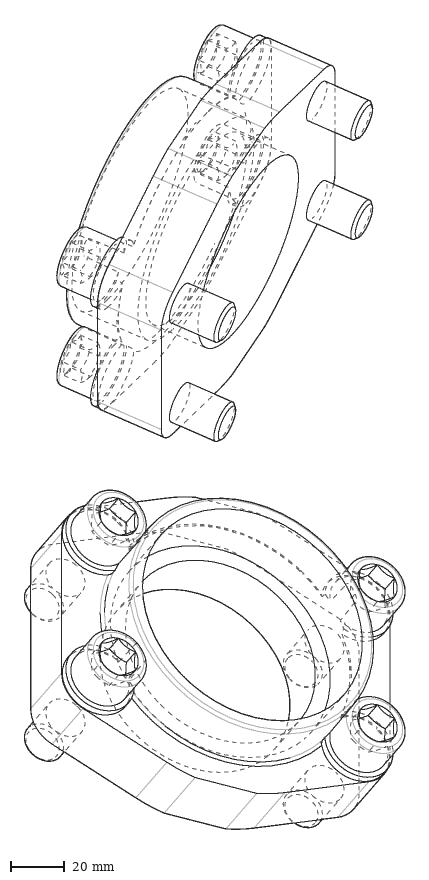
import cadquery as cq
import math


overall_length = 70.0
plate_width = 135.0
plate_height = 124.0
plate_thickness = 27.0
rim_radius = 63.3
bolt_spacing_y = 106.4
bolt_spacing_z = 62.0

collar_length = 23.1
collar_tip_radius = 50.2
collar_root_radius = 50.5
collar_fillet = 1.2
bore_diameter = 78.0
pipe_socket_diameter = 90.3
pipe_socket_depth = 28.0

washer_diameter = 28.1
washer_thickness = 3.1
head_diameter = 24.0
head_height = 16.0
head_fillet = 1.6
shank_diameter = 16.0
shank_chamfer = 1.2
hex_across_flats = 14.0
hex_depth = 8.0
hex_turn_angle = 30.0
drill_point_angle = 120.0

bolt_y = bolt_spacing_y / 2
bolt_z = bolt_spacing_z / 2
corner_radius = plate_width / 2 - bolt_y
head_front_x = -washer_thickness - head_height
shank_end_x = overall_length - collar_length
hex_corner_radius = hex_across_flats / math.sqrt(3)


def disc(diameter, x_start, x_end, y=0.0, z=0.0):
    """Round bar along X between two positions."""
    return (
        cq.Workplane("YZ", origin=(x_start, 0, 0))
        .center(y, z)
        .circle(diameter / 2)
        .extrude(x_end - x_start)
    )


def turned(profile, y=0.0, z=0.0):
    """Revolve a closed (x, radius) profile about X and move it to the given axis."""
    return (
        cq.Workplane("XZ")
        .polyline(profile)
        .close()
        .revolve(360, (0, 0, 0), (1, 0, 0))
        .translate((0, y, z))
    )


def flange_plate():
    """Rim circle and corner circles joined by tangents, cut flat at top and bottom."""
    axis_distance = math.hypot(bolt_y, bolt_z)
    normal_angle = math.atan2(bolt_z, bolt_y) + math.acos((rim_radius - corner_radius) / axis_distance)
    normal_y = math.cos(normal_angle)
    normal_z = math.sin(normal_angle)

    half_height = plate_height / 2
    half_width = plate_width / 2
    flat_end = (math.sqrt(rim_radius**2 - half_height**2), half_height)
    rim_middle_angle = (math.atan2(flat_end[1], flat_end[0]) + normal_angle) / 2
    rim_middle = (rim_radius * math.cos(rim_middle_angle), rim_radius * math.sin(rim_middle_angle))
    rim_end = (rim_radius * normal_y, rim_radius * normal_z)
    corner_start = (bolt_y + corner_radius * normal_y, bolt_z + corner_radius * normal_z)
    corner_middle = (
        bolt_y + corner_radius * math.cos(normal_angle / 2),
        bolt_z + corner_radius * math.sin(normal_angle / 2),
    )

    quarter = (
        cq.Workplane("YZ")
        .lineTo(0, half_height)
        .lineTo(*flat_end)
        .threePointArc(rim_middle, rim_end)
        .lineTo(*corner_start)
        .threePointArc(corner_middle, (half_width, bolt_z))
        .lineTo(half_width, 0)
        .close()
        .extrude(plate_thickness)
    )
    half = quarter.union(quarter.mirror("XZ"))
    return half.union(half.mirror("XY")).clean()


def collar():
    """Slightly tapered collar, rounded at its tip."""
    profile = [
        (-collar_length, 0),
        (-collar_length, collar_tip_radius),
        (0, collar_root_radius),
        (0, 0),
    ]
    return turned(profile).faces("<X").edges().fillet(collar_fillet)


def bolt(y, z):
    """Washer, rounded head and chamfered shank of one bolt."""
    washer = disc(washer_diameter, -washer_thickness, 0, y, z)
    head = disc(head_diameter, head_front_x, -washer_thickness, y, z).faces("<X").edges().fillet(head_fillet)
    shank = disc(shank_diameter, -washer_thickness, shank_end_x, y, z).faces(">X").chamfer(shank_chamfer)
    return washer.union(head).union(shank)


def hex_socket(y, z):
    """Hexagonal recess with corners up and down, a bevelled mouth and a conical bottom."""
    wall_end_x = head_front_x + hex_depth
    point_x = wall_end_x + hex_corner_radius / math.tan(math.radians(drill_point_angle / 2))
    hexagon = (
        cq.Workplane("YZ", origin=(head_front_x, 0, 0))
        .polygon(6, 2 * hex_corner_radius)
        .extrude(point_x - head_front_x)
        .rotate((0, 0, 0), (1, 0, 0), hex_turn_angle)
        .translate((0, y, z))
    )
    pointed_bar = turned(
        [
            (head_front_x, 0),
            (head_front_x, hex_corner_radius),
            (wall_end_x, hex_corner_radius),
            (point_x, 0),
        ],
        y,
        z,
    )
    mouth = turned(
        [(head_front_x, 0), (head_front_x, hex_corner_radius), (head_front_x + hex_corner_radius, 0)], y, z
    )
    return hexagon.intersect(pointed_bar).union(mouth)


body = flange_plate().union(collar())
root_margin = 0.1
root_reach = collar_root_radius + root_margin
root_edge = cq.selectors.BoxSelector(
    (-root_margin, -root_reach, -root_reach), (root_margin, root_reach, root_reach), boundingbox=True
)
body = body.edges(root_edge).fillet(collar_fillet)

bolt_axes = [(side_y * bolt_y, side_z * bolt_z) for side_y in (-1, 1) for side_z in (-1, 1)]
for axis_y, axis_z in bolt_axes:
    body = body.union(bolt(axis_y, axis_z))
for axis_y, axis_z in bolt_axes:
    body = body.cut(hex_socket(axis_y, axis_z))

body = body.cut(disc(bore_diameter, -collar_length, plate_thickness))
body = body.cut(disc(pipe_socket_diameter, -collar_length, pipe_socket_depth - collar_length))

result = body